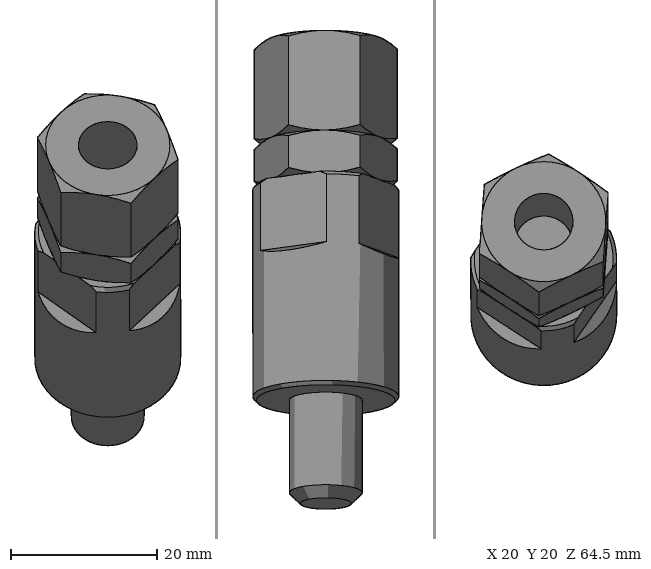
import cadquery as cq
import math

across_flats = 17.0
hex_end_length = 14.0
locknut_height = 6.0
housing_diameter = 20.0
housing_length = 30.0
flats_length = 10.0
pin_diameter = 10.0
pin_length = 14.5

crown_angle = math.radians(30)
flat_runout_angle = math.radians(30)
housing_chamfer = 0.5
pin_chamfer = 1.5

bore_diameter = 8.0
bore_depth = 12.0
stud_diameter = 10.0

housing_bottom = pin_length
flats_bottom = housing_bottom + housing_length - flats_length
locknut_bottom = housing_bottom + housing_length
hex_end_bottom = locknut_bottom + locknut_height

housing_radius = housing_diameter / 2
flat_offset = across_flats / 2
corner_radius = flat_offset / math.cos(math.radians(30))


def make_crowned_hexagon(bottom, height):
    """Hexagonal prism with flats facing +X and -X, crowned by a cone at both ends."""
    prism = (
        cq.Workplane("XY", origin=(0, 0, bottom))
        .polygon(6, 2 * corner_radius)
        .extrude(height)
        .rotate((0, 0, 0), (0, 0, 1), 30)
    )
    top = bottom + height
    crown_drop = (corner_radius - flat_offset) * math.tan(crown_angle)
    crown_envelope = (
        cq.Workplane("XZ")
        .moveTo(0, bottom)
        .lineTo(flat_offset, bottom)
        .lineTo(corner_radius, bottom + crown_drop)
        .lineTo(corner_radius, top - crown_drop)
        .lineTo(flat_offset, top)
        .lineTo(0, top)
        .close()
        .revolve(360, (0, 0, 0), (0, 1, 0))
    )
    return prism.intersect(crown_envelope)


def make_flat_cutter():
    """Block beyond the +X wrench flat, ending below in a runout that slopes down outward."""
    block_thickness = housing_radius
    runout_drop = block_thickness * math.tan(flat_runout_angle)
    outer = flat_offset + block_thickness
    return (
        cq.Workplane("XZ")
        .moveTo(flat_offset, flats_bottom)
        .lineTo(outer, flats_bottom - runout_drop)
        .lineTo(outer, locknut_bottom)
        .lineTo(flat_offset, locknut_bottom)
        .close()
        .extrude(housing_radius, both=True)
    )


def make_housing():
    """Round housing with a chamfered pin below and four wrench flats at its top."""
    pin_radius = pin_diameter / 2
    end_radius = housing_radius - housing_chamfer
    housing = (
        cq.Workplane("XZ")
        .moveTo(0, 0)
        .lineTo(pin_radius - pin_chamfer, 0)
        .lineTo(pin_radius, pin_chamfer)
        .lineTo(pin_radius, housing_bottom)
        .lineTo(end_radius, housing_bottom)
        .lineTo(housing_radius, housing_bottom + housing_chamfer)
        .lineTo(housing_radius, locknut_bottom - housing_chamfer)
        .lineTo(end_radius, locknut_bottom)
        .lineTo(0, locknut_bottom)
        .close()
        .revolve(360, (0, 0, 0), (0, 1, 0))
    )
    flat_cutter = make_flat_cutter()
    for angle in (0, 90, 180, 270):
        housing = housing.cut(flat_cutter.rotate((0, 0, 0), (0, 0, 1), angle))
    return housing


def make_locknut():
    """Crowned hexagon nut with a through hole for the stud of the hex end."""
    stud_hole = (
        cq.Workplane("XY", origin=(0, 0, locknut_bottom))
        .circle(stud_diameter / 2)
        .extrude(locknut_height)
    )
    return make_crowned_hexagon(locknut_bottom, locknut_height).cut(stud_hole)


def make_hex_end():
    """Crowned hexagon with a blind bore from above and a stud that fills the locknut."""
    stud = (
        cq.Workplane("XY", origin=(0, 0, locknut_bottom))
        .circle(stud_diameter / 2)
        .extrude(locknut_height)
    )
    bore = (
        cq.Workplane("XY", origin=(0, 0, hex_end_bottom + hex_end_length - bore_depth))
        .circle(bore_diameter / 2)
        .extrude(bore_depth)
    )
    return make_crowned_hexagon(hex_end_bottom, hex_end_length).union(stud).cut(bore)


housing = make_housing()
locknut = make_locknut()
hex_end = make_hex_end()

result = cq.Compound.makeCompound([housing.val(), locknut.val(), hex_end.val()])